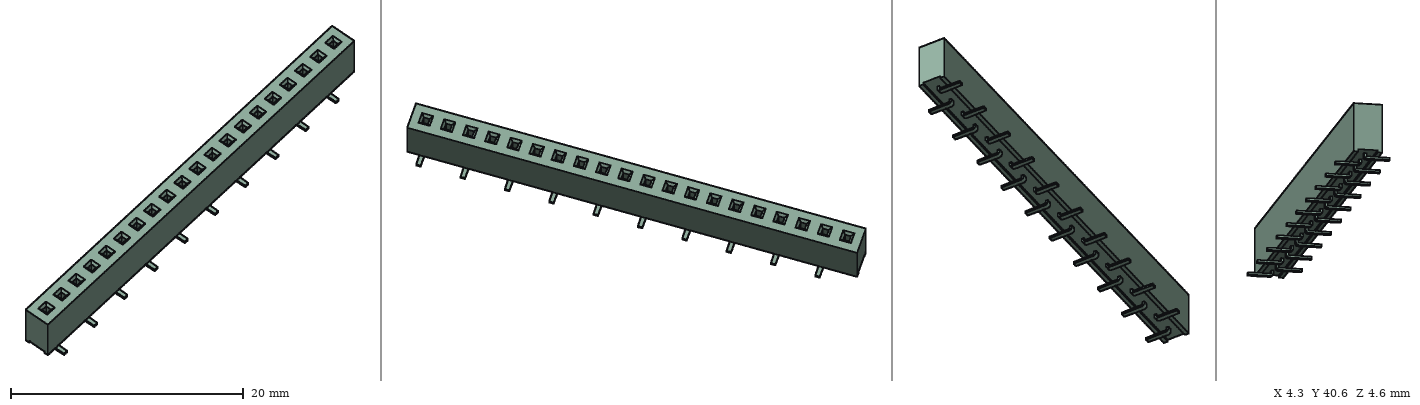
import cadquery as cq

body_length = 40.6
body_width = 2.5
total_height = 4.6
lead_span = 4.3

pin_count = 20
pin_row_length = 38.0
pin_pitch = pin_row_length / (pin_count - 1)

standoff = 0.3
channel_width = 1.7
channel_roof = 0.5

funnel_mouth = 1.0
hole_side = 0.53
funnel_depth = (funnel_mouth - hole_side) / 2
hole_depth = 2.85

lead_root_width = 0.45
lead_tip_width = 0.4
lead_thickness = 0.2
outer_bend_radius = 0.3
inner_bend_radius = outer_bend_radius - lead_thickness
taper_start = 1.05
lead_top = 3.25


def make_housing():
    body_height = total_height - standoff
    housing = (
        cq.Workplane("XY", origin=(0, 0, standoff))
        .rect(body_width, body_length)
        .extrude(body_height)
    )
    channel = (
        cq.Workplane("XY", origin=(0, 0, standoff))
        .rect(channel_width, body_length)
        .extrude(channel_roof - standoff)
    )
    return housing.cut(channel)


def make_opening(y):
    """Tool that cuts one funnel and the square hole below it."""
    funnel = (
        cq.Workplane("XY", origin=(0, y, total_height))
        .rect(funnel_mouth, funnel_mouth)
        .workplane(offset=-funnel_depth)
        .rect(hole_side, hole_side)
        .loft()
    )
    hole = (
        cq.Workplane("XY", origin=(0, y, total_height))
        .rect(hole_side, hole_side)
        .extrude(-hole_depth)
    )
    return funnel.union(hole)


def make_lead(y, side):
    """Bent lead with its tip towards -X (side = -1) or +X (side = 1)."""
    inner_face = side * lead_thickness / 2
    outer_face = -inner_face
    bend_end = outer_face + side * outer_bend_radius
    tip = side * lead_span / 2
    half_root = lead_root_width / 2
    half_tip = lead_tip_width / 2

    strip = (
        cq.Workplane("XZ", origin=(0, y, 0))
        .moveTo(outer_face, lead_top)
        .lineTo(outer_face, outer_bend_radius)
        .radiusArc((bend_end, 0), -side * outer_bend_radius)
        .lineTo(tip, 0)
        .lineTo(tip, lead_thickness)
        .lineTo(bend_end, lead_thickness)
        .radiusArc((inner_face, outer_bend_radius), side * inner_bend_radius)
        .lineTo(inner_face, lead_top)
        .close()
        .extrude(half_root, both=True)
    )
    plan = (
        cq.Workplane("XY", origin=(0, y, 0))
        .moveTo(outer_face, half_root)
        .lineTo(side * taper_start, half_root)
        .lineTo(tip, half_tip)
        .lineTo(tip, -half_tip)
        .lineTo(side * taper_start, -half_root)
        .lineTo(outer_face, -half_root)
        .close()
        .extrude(lead_top)
    )
    return strip.intersect(plan)


result = make_housing()
for index in range(pin_count):
    pin_y = pin_row_length / 2 - index * pin_pitch
    pin_side = -1 if index % 2 == 0 else 1
    result = result.cut(make_opening(pin_y))
    result = result.union(make_lead(pin_y, pin_side))